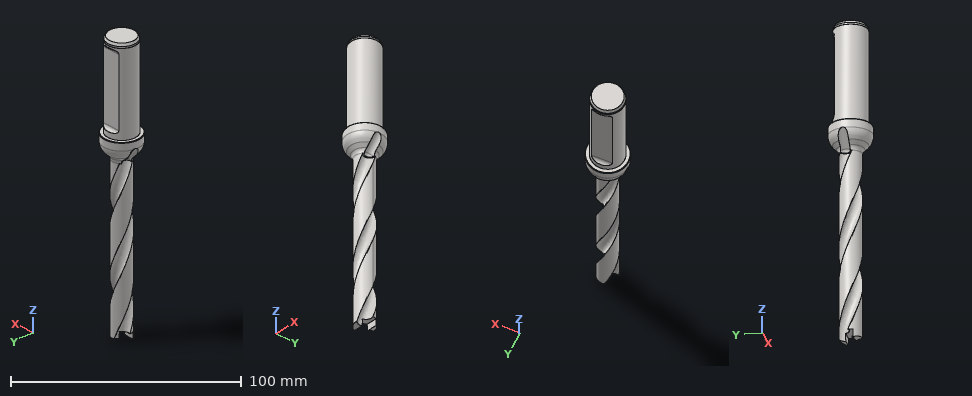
import cadquery as cq
import math

total_length = 149.1
collar_top = 101.4
collar_arc_top = 97.2
flute_top = 88.4

shank_diameter = 16.0
band_diameter = 15.8
collar_diameter = 20.0
body_diameter = 10.6

end_chamfer_height = 1.3
end_chamfer_width = 0.7
band_height = 0.9
collar_chamfer = 0.3
neck_fillet_radius = 3.1

flat_offset = 6.3
flat_bottom = 104.4
flat_top = 145.7
flat_corner_radius = 1.8

flute_count = 2
flute_pitch = 80.5
flute_radius = 3.1
flute_center_radius = 4.9
flute_start_angle = 128.0
runout_radius = 2.4
runout_tilt = 43.0
runout_length = 17.9

seat_width = 4.2
seat_depth = 3.6
tip_relief_height = 1.0


def turned_body():
    """Revolved shank, collar, 45 degree cone and drill body."""
    shank_r = shank_diameter / 2
    band_r = band_diameter / 2
    collar_r = collar_diameter / 2
    body_r = body_diameter / 2
    band_top = total_length - end_chamfer_height
    half_cos = math.cos(math.radians(22.5))
    half_sin = math.sin(math.radians(22.5))
    diagonal = math.sqrt(0.5)

    height_gap = collar_arc_top - flute_top
    radial_gap = collar_r - body_r
    collar_arc_radius = (height_gap - radial_gap) / (math.sqrt(2) - 1) - neck_fillet_radius
    arc_center_r = collar_r - collar_arc_radius
    neck_center_r = body_r + neck_fillet_radius
    return (
        cq.Workplane("XZ")
        .moveTo(0, 0)
        .lineTo(body_r, 0)
        .lineTo(body_r, flute_top)
        .threePointArc(
            (neck_center_r - neck_fillet_radius * half_cos, flute_top + neck_fillet_radius * half_sin),
            (neck_center_r - neck_fillet_radius * diagonal, flute_top + neck_fillet_radius * diagonal),
        )
        .lineTo(arc_center_r + collar_arc_radius * diagonal, collar_arc_top - collar_arc_radius * diagonal)
        .threePointArc(
            (arc_center_r + collar_arc_radius * half_cos, collar_arc_top - collar_arc_radius * half_sin),
            (collar_r, collar_arc_top),
        )
        .lineTo(collar_r, collar_top - collar_chamfer)
        .lineTo(collar_r - collar_chamfer, collar_top)
        .lineTo(shank_r, collar_top)
        .lineTo(shank_r, band_top - band_height)
        .lineTo(band_r, band_top - band_height)
        .lineTo(band_r, band_top)
        .lineTo(band_r - end_chamfer_width, total_length)
        .lineTo(0, total_length)
        .close()
        .revolve(360, (0, 0, 0), (0, 1, 0))
    )


def clamping_flat():
    """Cutter for the shank flat, rounded along both inner corners."""
    depth = shank_diameter / 2
    return (
        cq.Workplane("XY")
        .box(2 * depth, depth, flat_top - flat_bottom, centered=(True, False, False))
        .translate((0, flat_offset, flat_bottom))
        .faces("<Y")
        .edges("|X")
        .fillet(flat_corner_radius)
    )


def flute_cutters():
    """Cutters for one helical flute and its runout tilted through the cone."""
    start = math.radians(flute_start_angle)
    twist = 360 * flute_top / flute_pitch
    helix = (
        cq.Workplane("XY")
        .moveTo(flute_center_radius * math.cos(start), flute_center_radius * math.sin(start))
        .circle(flute_radius)
        .twistExtrude(flute_top, twist)
    )
    end = start + math.radians(twist)
    end_point = cq.Vector(flute_center_radius * math.cos(end), flute_center_radius * math.sin(end), flute_top)
    tilt = math.radians(runout_tilt)
    outward = math.copysign(math.sin(tilt), end_point.x)
    direction = cq.Vector(outward, 0, math.cos(tilt))
    runout = cq.Solid.makeCylinder(runout_radius, runout_length, end_point, direction)
    blend = cq.Workplane("XY").sphere(runout_radius).translate(end_point)
    return helix, blend.union(cq.Workplane(runout))


def insert_seat():
    """Cutter for the slot that runs across the tip along X."""
    return cq.Workplane("XY").box(body_diameter, seat_width, seat_depth, centered=(True, True, False))


def tip_relief(side):
    """Cutter sloping the tip upward from the slot on one side, +1 or -1 along Y."""
    inner = side * seat_width / 2
    outer = side * body_diameter / 2
    return (
        cq.Workplane("YZ")
        .polyline([(inner, 0), (outer, 0), (outer, tip_relief_height)])
        .close()
        .extrude(body_diameter / 2, both=True)
    )


result = turned_body().cut(clamping_flat())
helix_cutter, runout_cutter = flute_cutters()
for index in range(flute_count):
    angle = index * 360 / flute_count
    for cutter in (helix_cutter, runout_cutter):
        result = result.cut(cutter.rotate((0, 0, 0), (0, 0, 1), angle))
result = result.cut(insert_seat())
for side in (-1, 1):
    result = result.cut(tip_relief(side))